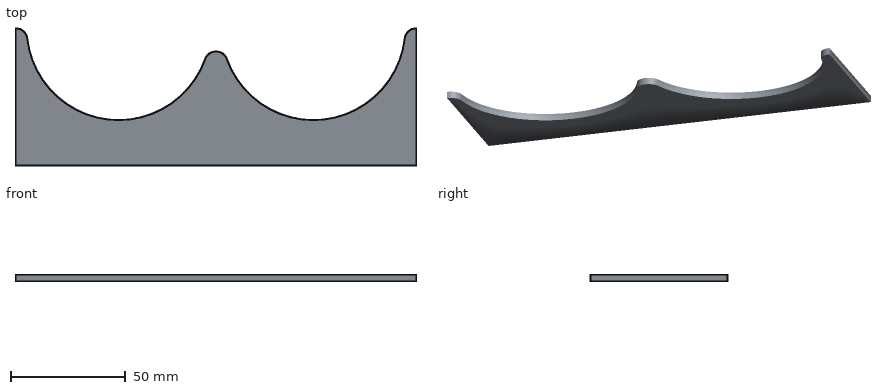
import cadquery as cq
import math

length = 175.0
depth = 60.0
thickness = 3.0
scallop_radius = 40.0
scallop_spacing = 85.0
tip_radius = 5.0

half_length = length / 2
scallop_x = scallop_spacing / 2
scallop_y = depth
scallop_bottom = scallop_y - scallop_radius

center_distance = scallop_radius + tip_radius

middle_tip_y = scallop_y - math.sqrt(center_distance**2 - scallop_x**2)

outer_tip_x = scallop_x + math.sqrt(center_distance**2 - tip_radius**2)
outer_tip_y = depth - tip_radius


def tangent_point(tip_x, tip_y):
    """Point where a tip arc meets the right-hand scallop."""
    share = tip_radius / center_distance
    return (tip_x + (scallop_x - tip_x) * share, tip_y + (scallop_y - tip_y) * share)


def outer_tip_middle(touch):
    """Point halfway along the right-hand tip arc, from the scallop to the back edge."""
    start_angle = math.atan2(touch[1] - outer_tip_y, touch[0] - outer_tip_x)
    middle_angle = (start_angle % (2 * math.pi) + math.pi / 2) / 2
    return (
        outer_tip_x + tip_radius * math.cos(middle_angle),
        outer_tip_y + tip_radius * math.sin(middle_angle),
    )


def mirrored(point):
    return (-point[0], point[1])


inner_touch = tangent_point(0, middle_tip_y)
outer_touch = tangent_point(outer_tip_x, outer_tip_y)
outer_middle = outer_tip_middle(outer_touch)
outer_top = (outer_tip_x, depth)

result = (
    cq.Workplane("XY")
    .moveTo(-half_length, 0)
    .lineTo(half_length, 0)
    .lineTo(half_length, depth)
    .lineTo(*outer_top)
    .threePointArc(outer_middle, outer_touch)
    .threePointArc((scallop_x, scallop_bottom), inner_touch)
    .threePointArc((0, middle_tip_y + tip_radius), mirrored(inner_touch))
    .threePointArc((-scallop_x, scallop_bottom), mirrored(outer_touch))
    .threePointArc(mirrored(outer_middle), mirrored(outer_top))
    .lineTo(-half_length, depth)
    .close()
    .extrude(thickness)
)